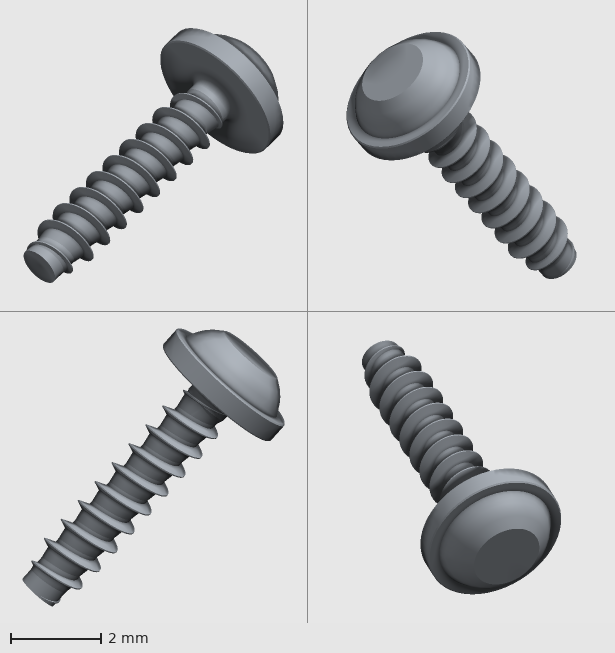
import cadquery as cq
import math


flange_radius = 1.6
flange_thickness = 0.5
flange_edge_chamfer = 0.03
total_length = 7.15
dome_base_radius = 1.345
dome_mid_radius = 1.16
dome_top_radius = 0.79

shank_radius = 0.52
underhead_fillet = 0.2
shank_end = 0.34
core_start = 0.515
core_radius = 0.46
head_height = 1.15
shank_length = total_length - head_height
tip_dimple_depth = 0.035

crest_radius = 0.7
crest_width = 0.03
upper_flank_width = 0.1
lower_flank_width = 0.09
run_in_turns = 1.25
full_turns = 7.5
run_out_turns = 1.5
thread_start = 0.15
thread_end = 5.98
pitch = (thread_end - thread_start) / (run_in_turns + full_turns + run_out_turns)
run_in_radius = 0.515
run_out_radius = 0.46
thread_root_overlap = 0.07

step_radius = 0.52
step_end_radius = 0.45
step_width = 0.4
step_root_overlap = 0.04
step_run_out_radius = 0.45


def make_body():
    """Head, neck and core turned in one piece."""
    c = flange_edge_chamfer
    dome_height = head_height - flange_thickness
    fillet_reach = underhead_fillet * (1 - math.sqrt(0.5))
    return (
        cq.Workplane("XZ")
        .moveTo(0, -shank_length)
        .lineTo(core_radius, -shank_length)
        .lineTo(core_radius, -core_start)
        .lineTo(shank_radius, -shank_end)
        .lineTo(shank_radius, -underhead_fillet)
        .threePointArc(
            (shank_radius + fillet_reach, -fillet_reach),
            (shank_radius + underhead_fillet, 0),
        )
        .lineTo(flange_radius - c, 0)
        .lineTo(flange_radius, c)
        .lineTo(flange_radius, flange_thickness - c)
        .lineTo(flange_radius - c, flange_thickness)
        .lineTo(dome_base_radius, flange_thickness)
        .threePointArc(
            (dome_mid_radius, flange_thickness + dome_height / 2),
            (dome_top_radius, head_height),
        )
        .lineTo(0, head_height)
        .close()
        .revolve(360, (0, 0, 0), (0, 1, 0))
    )


def make_helix(start_radius, end_radius, height):
    """Right-handed helix edge up the Z axis, its radius changing evenly."""
    if start_radius == end_radius:
        wire = cq.Wire.makeHelix(pitch, height, start_radius)
    else:
        cone_angle = math.atan2(end_radius - start_radius, height)
        slope = 1 / math.cos(cone_angle)
        wire = cq.Wire.makeHelix(
            pitch * slope, height * slope, start_radius, angle=math.degrees(cone_angle)
        )
    return wire.Edges()[0]


def sweep_turns(profile, first_turn, turns, start_radius, end_radius):
    """Sweep (radial offset, distance toward the tip) points along a helix.

    The helix runs down the axis from the thread start on the -X side, and its
    radius changes evenly from start_radius to end_radius.
    """
    drop = turns * pitch
    edges = [
        make_helix(start_radius + offset, end_radius + offset, drop).moved(
            cq.Location(cq.Vector(0, 0, distance))
        )
        for offset, distance in profile
    ]
    neighbours = list(zip(edges, edges[1:] + edges[:1]))
    sides = [cq.Face.makeRuledSurface(first, second) for first, second in neighbours]
    ends = []
    for position in (0, 1):
        corners = [edge.positionAt(position) for edge in edges]
        ends.append(cq.Face.makeFromWires(cq.Wire.makePolygon(corners, close=True)))
    solid = cq.Solid.makeSolid(cq.Shell.makeShell(sides + ends))
    return (
        cq.Workplane(obj=solid)
        .rotate((0, 0, 0), (0, 0, 1), 360 * first_turn)
        .rotate((0, 0, 0), (0, 1, 0), 180)
        .translate((0, 0, -thread_start - first_turn * pitch))
    )


def make_ridge_parts():
    """Sharp thread ridge in three stretches: run-in, full height and run-out."""
    depth = crest_radius - core_radius
    root = -depth - thread_root_overlap
    profile = [
        (root, -crest_width / 2 - upper_flank_width),
        (-depth, -crest_width / 2 - upper_flank_width),
        (0, -crest_width / 2),
        (0, crest_width / 2),
        (-depth, crest_width / 2 + lower_flank_width),
        (root, crest_width / 2 + lower_flank_width),
    ]
    run_out_first_turn = run_in_turns + full_turns
    return [
        sweep_turns(profile, 0, run_in_turns, run_in_radius, crest_radius),
        sweep_turns(profile, run_in_turns, full_turns, crest_radius, crest_radius),
        sweep_turns(profile, run_out_first_turn, run_out_turns, crest_radius, run_out_radius),
    ]


def make_step_parts():
    """Shallow cone wound around the core between neighbouring ridges, in two stretches."""
    root = core_radius - step_root_overlap - step_radius
    profile = [
        (root, 0),
        (0, 0),
        (step_end_radius - step_radius, step_width),
        (root, step_width),
    ]
    even_turns = run_in_turns + full_turns
    return [
        sweep_turns(profile, 0, even_turns, step_radius, step_radius),
        sweep_turns(profile, even_turns, run_out_turns, step_radius, step_run_out_radius),
    ]


def make_tip_cutter():
    """Everything below the tip plane, with a shallow cone that dimples the tip."""
    return (
        cq.Workplane("XZ")
        .moveTo(0, -shank_length + tip_dimple_depth)
        .lineTo(core_radius, -shank_length)
        .lineTo(flange_radius, -shank_length)
        .lineTo(flange_radius, -total_length)
        .lineTo(0, -total_length)
        .close()
        .revolve(360, (0, 0, 0), (0, 1, 0))
    )


thread_parts = make_step_parts() + make_ridge_parts()
thread = thread_parts[0]
for thread_part in thread_parts[1:]:
    thread = thread.union(thread_part)
screw = make_body().union(thread).cut(make_tip_cutter())

result = screw.rotate((0, 0, 0), (1, 0, 0), -90)